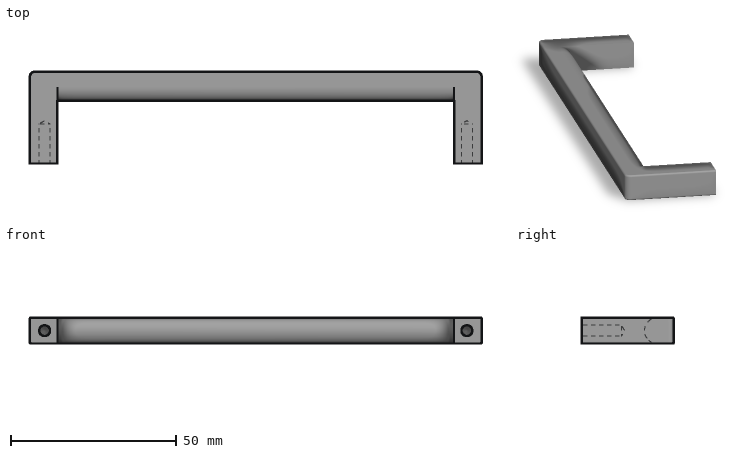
import cadquery as cq
import math

length = 137.0
depth = 28.0
thickness = 8.0

leg_width = 8.4
grip_radius = thickness / 2
grip_axis_inset = 5.0
corner_radius = 1.6
edge_radius = 0.5

hole_spacing = 128.0
hole_diameter = 3.3
hole_depth = 12.0
drill_point_angle = 118

outer_y = depth / 2
leg_end_y = -depth / 2
grip_axis_y = outer_y - grip_axis_inset
inner_length = length - 2 * leg_width


def make_frame():
    """U-shaped frame with rounded corners and a softened outer border."""
    block = (
        cq.Workplane("XY")
        .box(length, depth, thickness)
        .edges("|Z and >Y")
        .fillet(corner_radius)
    )
    border = block.faces("<Z or >Z").edges("not <Y")
    block = border.fillet(edge_radius)
    opening_depth = depth - grip_axis_inset
    opening = cq.Workplane("XY").box(inner_length, opening_depth, thickness)
    return block.cut(opening.translate((0, leg_end_y + opening_depth / 2, 0)))


def make_grip_round():
    """Cylinder whose inner half rounds the grip between the legs."""
    return (
        cq.Workplane("YZ", origin=(-inner_length / 2, 0, 0))
        .center(grip_axis_y, 0)
        .circle(grip_radius)
        .extrude(inner_length)
    )


def make_hole(x):
    """Drilled hole running from a leg end in the +Y direction, revolved about its axis."""
    radius = hole_diameter / 2
    point_height = radius / math.tan(math.radians(drill_point_angle / 2))
    return (
        cq.Workplane("XY", origin=(x, leg_end_y, 0))
        .polyline([
            (0, 0),
            (radius, 0),
            (radius, hole_depth),
            (0, hole_depth + point_height),
        ])
        .close()
        .revolve(360, (0, 0, 0), (0, 1, 0))
    )


result = make_frame().union(make_grip_round())
for side in (-1, 1):
    result = result.cut(make_hole(side * hole_spacing / 2))